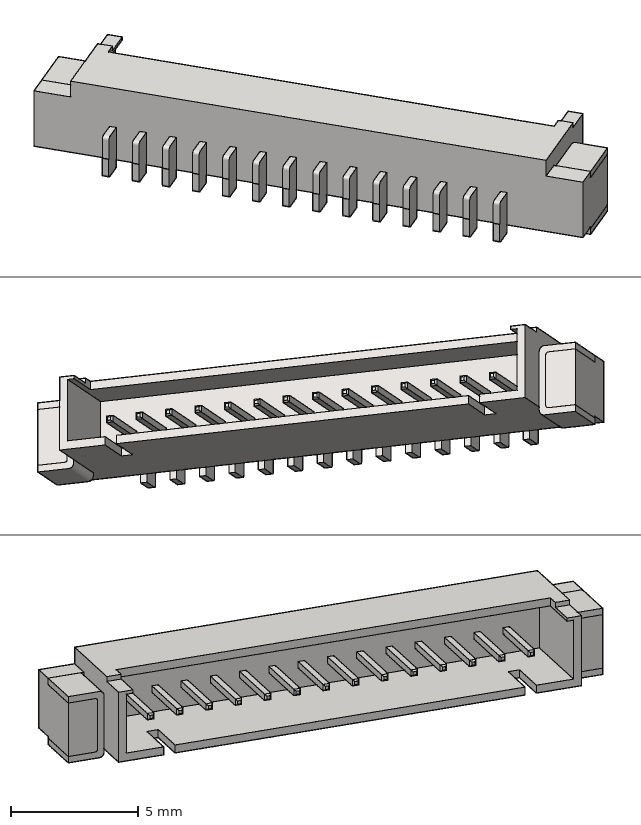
import cadquery as cq


total_length = 22.83
total_height = 3.55
housing_depth = 4.43

core_length = 19.77
housing_bottom = 0.35
wall = 0.35
front_wall = 1.0
roof_depth = 2.75
roof_opening_length = 18.54
side_wall_full_depth = 3.25
side_wall_drop = 0.2
slot_center_x = 7.72
slot_width = 0.48

ear_top = 2.83
ear_front_depth = 0.94
ear_depth = 2.97
clip_thickness = 0.27
clip_outer_radius = 0.2
clip_inner_radius = 0.11

contact_count = 14
contact_row_span = 16.25
contact_width = 0.27
contact_tip_y = 3.58
contact_tip_chamfer = 0.07
tail_reach = 0.91
tail_top = 1.8
tail_step_height = 0.85
tail_step = 0.02
tail_corner_radius = 0.14

core_half = core_length / 2
end_half = total_length / 2
tongue_bottom = clip_thickness
tongue_top = ear_top - clip_thickness
tongue_inner_x = core_half + clip_thickness
contact_pitch = contact_row_span / (contact_count - 1)


def box(x_range, y_range, z_range):
    """Return a box that fills the given X, Y and Z ranges."""
    size = [high - low for low, high in (x_range, y_range, z_range)]
    corner = (x_range[0], y_range[0], z_range[0])
    return cq.Workplane("XY").box(*size, centered=False).translate(corner)


def make_core():
    """Return the shell between the ears, open towards +Y."""
    core = box((-core_half, core_half), (0, housing_depth), (housing_bottom, total_height))

    cavity_half = core_half - wall
    cavity = box(
        (-cavity_half, cavity_half),
        (front_wall, housing_depth),
        (housing_bottom + wall, total_height - wall),
    )

    opening_half = roof_opening_length / 2
    roof_opening = box(
        (-opening_half, opening_half),
        (roof_depth, housing_depth),
        (housing_bottom + wall, total_height),
    )

    side_wall_relief = box(
        (-core_half, core_half),
        (side_wall_full_depth, housing_depth),
        (total_height - side_wall_drop, total_height),
    )
    core = core.cut(cavity).cut(roof_opening).cut(side_wall_relief)

    for slot_x in (-slot_center_x, slot_center_x):
        slot = box(
            (slot_x - slot_width / 2, slot_x + slot_width / 2),
            (roof_depth, housing_depth),
            (housing_bottom, housing_bottom + wall),
        )
        core = core.cut(slot)
    return core


def make_tongue():
    """Return the block that fills the inside of the +X clip."""
    block = box((tongue_inner_x, end_half), (ear_front_depth, ear_depth), (tongue_bottom, tongue_top))
    return block.edges("|Y and <X").fillet(clip_inner_radius)


def make_ear():
    """Return the +X ear: a full block in front and a tongue behind it."""
    front = box((core_half, end_half), (0, ear_front_depth), (housing_bottom, ear_top))
    return front.union(make_tongue())


def make_clip():
    """Return the +X clip: a C with its web on the core and its open side outwards."""
    blank = box((core_half, end_half), (ear_front_depth, ear_depth), (0, ear_top))
    blank = blank.edges("|Y and <X").fillet(clip_outer_radius)
    return blank.cut(make_tongue())


def make_contact(x):
    """Return one contact: a square pin in the cavity and an upright tail on the front."""
    left = x - contact_width / 2
    right = x + contact_width / 2

    pin = box((left, right), (0, contact_tip_y), (tail_top - contact_width, tail_top))
    pin = pin.faces(">Y").chamfer(contact_tip_chamfer)

    tail = (
        cq.Workplane("YZ")
        .moveTo(0, 0)
        .lineTo(-tail_reach, 0)
        .lineTo(-tail_reach, tail_step_height)
        .lineTo(tail_step - tail_reach, tail_step_height)
        .lineTo(tail_step - tail_reach, tail_top)
        .lineTo(0, tail_top)
        .close()
        .extrude(contact_width)
        .translate((left, 0, 0))
    )
    for end_face in ("<Z", ">Z"):
        tail = tail.faces(end_face).edges("<Y").fillet(tail_corner_radius)
    return pin.union(tail)


def make_housing():
    """Return the core with both ears and the whole row of contacts."""
    ear = make_ear()
    housing = make_core().union(ear).union(ear.mirror("YZ"))
    first_x = -contact_row_span / 2
    for index in range(contact_count):
        housing = housing.union(make_contact(first_x + index * contact_pitch))
    return housing


housing = make_housing()
right_clip = make_clip()
left_clip = right_clip.mirror("YZ")

result = cq.Compound.makeCompound([housing.val(), left_clip.val(), right_clip.val()])